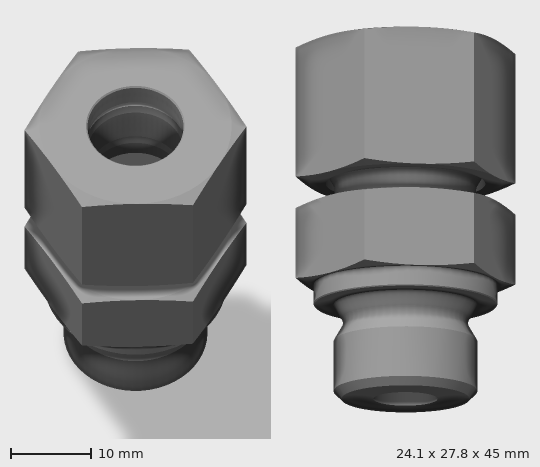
import cadquery as cq
import math

total_height = 45.0
stud_thread_top = 7.35
flange_bottom = 12.0
body_hex_bottom = 14.55
body_hex_top = 24.5
undercut_top = 26.8
nut_bottom = 27.5
tube_stop = 31.0
body_top = 38.5

hex_sides = 6
hex_across_flats = 24.05
hex_chamfer_angle = math.radians(15)

stud_thread_diameter = 18.0
nut_thread_diameter = 20.0
undercut_diameter = 17.7
flange_diameter = 23.0
flow_bore_diameter = 8.0
tube_diameter = 12.0

thread_chamfer = 1.0
flange_chamfer = 0.15
undercut_fillet = 1.0
stud_neck_fillet = 1.15
relief_angle = math.radians(30)

ring_diameter = 14.3
ring_mouth_diameter = 12.6
ring_mouth_depth = 1.05
ring_cone_length = 4.0
cone_half_angle = math.radians(12)

nut_lip_depth = 3.25
nut_entry_chamfer = 0.2

stud_radius = stud_thread_diameter / 2
thread_radius = nut_thread_diameter / 2
undercut_radius = undercut_diameter / 2
flange_radius = flange_diameter / 2
tube_radius = tube_diameter / 2
ring_radius = ring_diameter / 2
ring_top = total_height - nut_lip_depth - (ring_radius - tube_radius)


def revolve_about_z(profile):
    """Revolve a closed (radius, Z) profile, drawn in the XZ plane, about the Z axis."""
    return profile.close().revolve(360, (0, 0, 0), (0, 1, 0))


def chamfered_hexagon(bottom, top):
    """Hexagonal prism with two flats facing X and conical chamfers tangent to all its flats."""
    flat_radius = hex_across_flats / 2
    corner_radius = flat_radius / math.cos(math.pi / hex_sides)
    corner_drop = (corner_radius - flat_radius) * math.tan(hex_chamfer_angle)
    prism = (
        cq.Workplane("XY", origin=(0, 0, bottom))
        .polygon(hex_sides, 2 * corner_radius)
        .extrude(top - bottom)
        .rotate((0, 0, 0), (0, 0, 1), 180 / hex_sides)
    )
    envelope = revolve_about_z(
        cq.Workplane("XZ")
        .moveTo(0, bottom)
        .lineTo(flat_radius, bottom)
        .lineTo(corner_radius, bottom + corner_drop)
        .lineTo(corner_radius, top - corner_drop)
        .lineTo(flat_radius, top)
        .lineTo(0, top)
    )
    return prism.intersect(envelope)


def stud_end():
    """Threaded stud with a V-shaped relief below a round flange."""
    neck_z = (stud_thread_top + flange_bottom) / 2
    arc_half_height = stud_neck_fillet * math.sin(relief_angle)
    arc_depth = stud_neck_fillet * (1 - math.cos(relief_angle))
    slope_height = neck_z - arc_half_height - stud_thread_top
    arc_end_radius = stud_radius - slope_height * math.tan(relief_angle)
    return revolve_about_z(
        cq.Workplane("XZ")
        .moveTo(0, 0)
        .lineTo(stud_radius - thread_chamfer, 0)
        .lineTo(stud_radius, thread_chamfer)
        .lineTo(stud_radius, stud_thread_top)
        .lineTo(arc_end_radius, neck_z - arc_half_height)
        .threePointArc((arc_end_radius - arc_depth, neck_z), (arc_end_radius, neck_z + arc_half_height))
        .lineTo(stud_radius, flange_bottom)
        .lineTo(flange_radius - flange_chamfer, flange_bottom)
        .lineTo(flange_radius, flange_bottom + flange_chamfer)
        .lineTo(flange_radius, body_hex_bottom)
        .lineTo(0, body_hex_bottom)
    )


def nut_end():
    """Threaded end for the nut, with a filleted undercut above the hexagon."""
    fillet_centre_radius = undercut_radius + undercut_fillet
    lower_centre_z = body_hex_top + undercut_fillet

    def upper_arc_point(angle):
        return (
            fillet_centre_radius - undercut_fillet * math.cos(angle),
            undercut_top + undercut_fillet * math.sin(angle),
        )

    slope_start_radius, slope_start_z = upper_arc_point(relief_angle)
    slope_end_z = slope_start_z + (thread_radius - slope_start_radius) / math.tan(relief_angle)
    lower_mid = undercut_fillet * math.sqrt(0.5)
    return revolve_about_z(
        cq.Workplane("XZ")
        .moveTo(0, body_hex_top)
        .lineTo(fillet_centre_radius, body_hex_top)
        .threePointArc(
            (fillet_centre_radius - lower_mid, lower_centre_z - lower_mid),
            (undercut_radius, lower_centre_z),
        )
        .lineTo(undercut_radius, undercut_top)
        .threePointArc(upper_arc_point(relief_angle / 2), (slope_start_radius, slope_start_z))
        .lineTo(thread_radius, slope_end_z)
        .lineTo(thread_radius, body_top - thread_chamfer)
        .lineTo(thread_radius - thread_chamfer, body_top)
        .lineTo(0, body_top)
    )


def body_bore():
    """Flow bore, tube socket and the cone that takes the ring."""
    flow_radius = flow_bore_diameter / 2
    cone_bottom = body_top - (ring_radius - tube_radius) / math.tan(cone_half_angle)
    return revolve_about_z(
        cq.Workplane("XZ")
        .moveTo(0, 0)
        .lineTo(flow_radius, 0)
        .lineTo(flow_radius, tube_stop)
        .lineTo(tube_radius, tube_stop)
        .lineTo(tube_radius, cone_bottom)
        .lineTo(ring_radius, body_top)
        .lineTo(0, body_top)
    )


def make_body():
    hexagon = chamfered_hexagon(body_hex_bottom, body_hex_top)
    return stud_end().union(hexagon).union(nut_end()).cut(body_bore())


def make_ring():
    """Ring around the tube: its outer cone seats in the body, its top rim meets the nut's cone."""
    tip_radius = ring_radius - ring_cone_length * math.tan(cone_half_angle)
    tip_z = body_top - ring_cone_length
    return revolve_about_z(
        cq.Workplane("XZ")
        .moveTo(tube_radius, tip_z)
        .lineTo(tip_radius, tip_z)
        .lineTo(ring_radius, body_top)
        .lineTo(ring_radius, ring_top)
        .lineTo(ring_mouth_diameter / 2, ring_top)
        .lineTo(tube_radius, ring_top - ring_mouth_depth)
    )


def make_nut():
    """Union nut: a 45-degree cone leads from the thread bore to the tube entry."""
    lip_z = total_height - nut_lip_depth
    cone_bottom = lip_z - (thread_radius - tube_radius)
    cavity = revolve_about_z(
        cq.Workplane("XZ")
        .moveTo(0, nut_bottom)
        .lineTo(thread_radius, nut_bottom)
        .lineTo(thread_radius, cone_bottom)
        .lineTo(tube_radius, lip_z)
        .lineTo(tube_radius, total_height - nut_entry_chamfer)
        .lineTo(tube_radius + nut_entry_chamfer, total_height)
        .lineTo(0, total_height)
    )
    return chamfered_hexagon(nut_bottom, total_height).cut(cavity)


body = make_body()
ring = make_ring()
nut = make_nut()

result = cq.Compound.makeCompound([body.solids().val(), ring.solids().val(), nut.solids().val()])